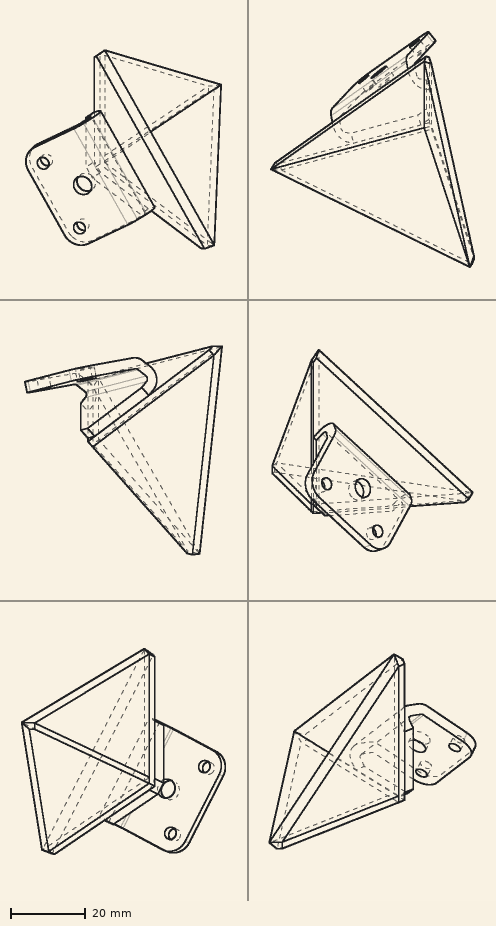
import cadquery as cq
import math

leg_length = 43.05
plate_thickness = 2.05
bevel_slope = math.sqrt(2)
trim_size = 3 * leg_length

sheet_thickness = 3.0
bracket_width = 30.0
inner_bend_radius = 1.0
outer_bend_radius = inner_bend_radius + sheet_thickness
neck_tilt = math.radians(11)
neck_length = 3.0
flange_tilt = math.acos(1 / math.sqrt(3))
pad_end = -1.2
bend_reach = 18.5
flange_end_y = -22.7
corner_radius = 4.9
small_hole_diameter = 3.3
large_hole_diameter = 5.1
large_hole_setback = 11.95

tip_x = (leg_length, 0, 0)
tip_y = (0, leg_length, 0)
tip_z = (0, 0, leg_length)


def box_between(low, high):
    size = [b - a for a, b in zip(low, high)]
    return cq.Workplane("XY").box(*size, centered=False).translate(low)


def trim(body, point, normal):
    """Remove everything beyond the plane through point, on the side the normal faces."""
    block = cq.Workplane(cq.Plane(origin=point, normal=normal)).rect(trim_size, trim_size).extrude(trim_size)
    return body.cut(block)


def make_front_plate():
    low = (-plate_thickness, -plate_thickness, -plate_thickness)
    plate = box_between(low, (leg_length, 0, leg_length))
    plate = trim(plate, tip_x, (1, -bevel_slope, 1))
    plate = trim(plate, tip_z, (-bevel_slope, 0, 1))
    return trim(plate, tip_x, (1, 0, -bevel_slope))


def make_bottom_plate():
    plate = box_between((-plate_thickness, 0, -plate_thickness), (leg_length, leg_length, 0))
    plate = trim(plate, tip_x, (1, 1, -bevel_slope))
    return trim(plate, tip_y, (-bevel_slope, 1, 0))


def make_side_plate():
    plate = box_between((-plate_thickness, 0, 0), (0, leg_length, leg_length))
    return trim(plate, tip_y, (-bevel_slope, 1, 1))


def on_circle(center, radius, tilt):
    """Point of a bend where the sheet runs at the given tilt from -Y."""
    return (center[0] + radius * math.cos(tilt), center[1] - radius * math.sin(tilt))


def shifted(point, distance, tilt):
    """Point moved along a sheet run at the given tilt from -Y."""
    return (point[0] - distance * math.sin(tilt), point[1] - distance * math.cos(tilt))


def make_bracket():
    section = cq.Plane(origin=(0, 0, 0), xDir=(1, 0, 1), normal=(-1, 0, 1))
    pad_y = -plate_thickness
    pad_tilt = -math.pi / 2
    first_bend = (bend_reach - outer_bend_radius, pad_y - outer_bend_radius)
    second_bend = shifted(first_bend, neck_length, neck_tilt)
    flange_start_y = on_circle(second_bend, outer_bend_radius, flange_tilt)[1]
    flange_length = (flange_start_y - flange_end_y) / math.cos(flange_tilt)

    def bend_points(center, radius, start, end):
        return [on_circle(center, radius, tilt) for tilt in (start, (start + end) / 2, end)]

    outer_first = bend_points(first_bend, outer_bend_radius, pad_tilt, neck_tilt)
    outer_second = bend_points(second_bend, outer_bend_radius, neck_tilt, flange_tilt)
    inner_second = bend_points(second_bend, inner_bend_radius, flange_tilt, neck_tilt)
    inner_first = bend_points(first_bend, inner_bend_radius, neck_tilt, pad_tilt)
    outer_tip = shifted(outer_second[2], flange_length, flange_tilt)
    inner_tip = shifted(inner_second[0], flange_length, flange_tilt)

    bracket = (
        cq.Workplane(section)
        .moveTo(pad_end, pad_y)
        .lineTo(*outer_first[0])
        .threePointArc(outer_first[1], outer_first[2])
        .lineTo(*outer_second[0])
        .threePointArc(outer_second[1], outer_second[2])
        .lineTo(*outer_tip)
        .lineTo(*inner_tip)
        .lineTo(*inner_second[0])
        .threePointArc(inner_second[1], inner_second[2])
        .lineTo(*inner_first[0])
        .threePointArc(inner_first[1], inner_first[2])
        .lineTo(pad_end, pad_y - sheet_thickness)
        .close()
        .extrude(bracket_width / 2, both=True)
    )

    flange_normal = section.toWorldCoords(on_circle((0, 0), 0.65, flange_tilt))
    bracket = bracket.edges(cq.selectors.ParallelDirSelector(flange_normal)).fillet(corner_radius)

    flange_face = cq.Plane(
        origin=section.toWorldCoords(outer_tip), xDir=section.zDir.multiply(-1), normal=flange_normal
    )
    small_hole_offset = bracket_width / 2 - corner_radius
    holes = [
        (-small_hole_offset, corner_radius, small_hole_diameter),
        (small_hole_offset, corner_radius, small_hole_diameter),
        (0, large_hole_setback, large_hole_diameter),
    ]
    for across, setback, diameter in holes:
        drill = cq.Workplane(flange_face).center(across, setback).circle(diameter / 2).extrude(-sheet_thickness)
        bracket = bracket.cut(drill)

    pad_back = pad_y - sheet_thickness
    far = bend_reach + bracket_width
    beside = box_between((-far, pad_back, -far), (-plate_thickness, pad_y, far))
    below = box_between((-far, pad_back, -far), (far, pad_y, -plate_thickness))
    return bracket.cut(beside).cut(below)


front_plate = make_front_plate()
bottom_plate = make_bottom_plate()
side_plate = make_side_plate()
bracket = make_bracket()

result = cq.Compound.makeCompound(
    [front_plate.val(), bottom_plate.val(), side_plate.val(), bracket.val()]
)